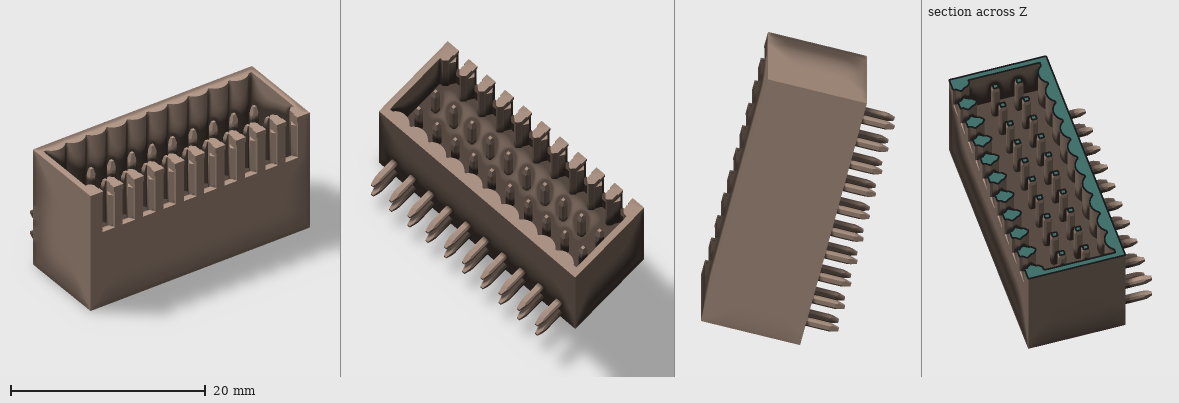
import cadquery as cq

body_width = 10.5
body_length = 27.35
body_height = 14.2

pin_count = 10
contact_span = 22.87
pitch = contact_span / (pin_count - 1)
pin_size = 0.82
pin_chamfer = 0.2
pin_tip_size = 0.33
pin_taper = 1.0
tail_length = 3.5
pin_root = 0.55
lower_tail_z = 1.23
first_row_x = 3.65
pin_recess = 2.1

left_wall = 0.93
end_wall = 0.68
latch_wall = 0.75
cavity_depth = 7.1

scallop_chord = 2.35
scallop_rise = 0.6

slot_depth = 5.0
finger_half_width = 0.5
finger_reach = 1.92
nose_half_width = 0.1
lug_half_width = 0.6
lug_height = 0.6
ridge_half_width = 0.88
ridge_drop = 1.2
ridge_start_reach = 1.35
ridge_end_reach = 0.3

floor_z = body_height - cavity_depth
inner_half_length = body_length / 2 - end_wall
latch_x = body_width - latch_wall
nose_x = body_width - finger_reach
shoulder_x = nose_x + finger_half_width - nose_half_width
pin_ys = [(i - (pin_count - 1) / 2) * pitch for i in range(pin_count)]
finger_ys = [(i - pin_count / 2) * pitch for i in range(pin_count + 1)]


def block(x_range, y_range, z_range):
    """Axis-aligned box between the given limits."""
    size = [high - low for low, high in (x_range, y_range, z_range)]
    corner = (x_range[0], y_range[0], z_range[0])
    return cq.Workplane("XY").box(*size, centered=False).translate(corner)


def make_shell():
    half_length = body_length / 2
    shell = block((0, body_width), (-half_length, half_length), (0, body_height))
    cavity = block(
        (left_wall, latch_x),
        (-inner_half_length, inner_half_length),
        (floor_z, body_height),
    )
    shell = shell.cut(cavity)
    slot_half_width = pitch / 2 - finger_half_width
    for y in pin_ys:
        slot = block(
            (latch_x, body_width),
            (y - slot_half_width, y + slot_half_width),
            (body_height - slot_depth, body_height),
        )
        shell = shell.cut(slot)
    return shell


def make_scallop():
    """Arc-faced pad on the left wall, rooted in the middle of the wall."""
    half_chord = scallop_chord / 2
    root_x = left_wall / 2
    return (
        cq.Workplane("XY", origin=(0, 0, floor_z))
        .moveTo(root_x, -half_chord)
        .lineTo(left_wall, -half_chord)
        .threePointArc((left_wall + scallop_rise, 0), (left_wall, half_chord))
        .lineTo(root_x, half_chord)
        .close()
        .extrude(cavity_depth)
    )


def make_finger():
    """Chamfered finger with side ridges and a pair of lugs at its top outer end."""
    blade = (
        cq.Workplane("XY", origin=(0, 0, floor_z))
        .polyline([
            (nose_x, -nose_half_width),
            (shoulder_x, -finger_half_width),
            (body_width, -finger_half_width),
            (body_width, finger_half_width),
            (shoulder_x, finger_half_width),
            (nose_x, nose_half_width),
        ])
        .close()
        .extrude(cavity_depth)
    )
    ridge_start_x = body_width - ridge_start_reach
    ridge_end_x = body_width - ridge_end_reach
    ridges = (
        cq.Workplane("XY", origin=(0, 0, floor_z))
        .polyline([
            (ridge_start_x, -finger_half_width),
            (latch_x, -ridge_half_width),
            (ridge_end_x, -finger_half_width),
            (ridge_end_x, finger_half_width),
            (latch_x, ridge_half_width),
            (ridge_start_x, finger_half_width),
        ])
        .close()
        .extrude(cavity_depth - ridge_drop)
    )
    lugs = block(
        (latch_x, body_width),
        (-lug_half_width, lug_half_width),
        (body_height - lug_height, body_height),
    )
    return blade.union(ridges).union(lugs)


def make_corner_fill(side):
    """Joins the nose of an end finger to the end wall; side is -1 or +1 along Y."""
    finger_y = pin_count / 2 * pitch
    return block(
        (nose_x, latch_x),
        sorted((side * finger_y, side * inner_half_length)),
        (floor_z, body_height),
    )


def make_pin(length):
    """Bevelled square pin along +Z from the origin, with a four-sided tapered tip."""
    shank_length = length - pin_taper
    envelope = (
        cq.Workplane("XY")
        .rect(pin_size, pin_size)
        .extrude(shank_length)
        .faces(">Z")
        .workplane()
        .rect(pin_size, pin_size)
        .workplane(offset=pin_taper)
        .rect(pin_tip_size, pin_tip_size)
        .loft(combine=True)
    )
    bevelled_bar = (
        cq.Workplane("XY")
        .rect(pin_size, pin_size)
        .extrude(length)
        .edges("|Z")
        .chamfer(pin_chamfer)
    )
    return envelope.intersect(bevelled_bar)


contact = make_pin(cavity_depth - pin_recess + pin_root)
tail = make_pin(tail_length + pin_root).rotate((0, 0, 0), (0, 1, 0), -90)
scallop = make_scallop()
finger = make_finger()

features = [finger.translate((0, y, 0)) for y in finger_ys]
features += [make_corner_fill(side) for side in (-1, 1)]
for y in pin_ys:
    features.append(scallop.translate((0, y, 0)))
    for row in range(2):
        contact_place = (first_row_x + row * pitch, y, floor_z - pin_root)
        tail_place = (pin_root, y, lower_tail_z + row * pitch)
        features.append(contact.translate(contact_place))
        features.append(tail.translate(tail_place))

housing = make_shell().val().fuse(*[feature.val() for feature in features]).clean()
result = cq.Workplane("XY").newObject(housing.Solids())